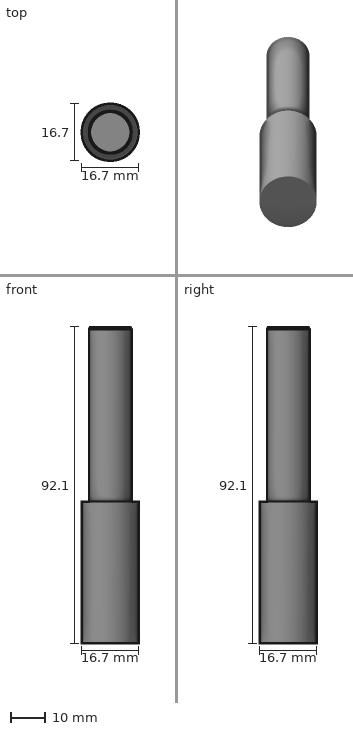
import cadquery as cq

total_height = 92.1
sleeve_height = 41.3
sleeve_diameter = 16.7
sleeve_radius = sleeve_diameter / 2
pin_radius = 6.3
pin_chamfer_height = 0.7
pin_chamfer_width = 0.4


def make_sleeve():
    """Cylindrical sleeve with a through bore that fits the pin."""
    return (
        cq.Workplane("XY")
        .circle(sleeve_radius)
        .circle(pin_radius)
        .extrude(sleeve_height)
    )


def make_pin():
    """Round pin filling the sleeve bore, with a chamfered upper end."""
    return (
        cq.Workplane("XY")
        .circle(pin_radius)
        .extrude(total_height)
        .faces(">Z")
        .chamfer(pin_chamfer_height, pin_chamfer_width)
    )


sleeve = make_sleeve()
pin = make_pin()
result = cq.Compound.makeCompound([sleeve.val(), pin.val()])